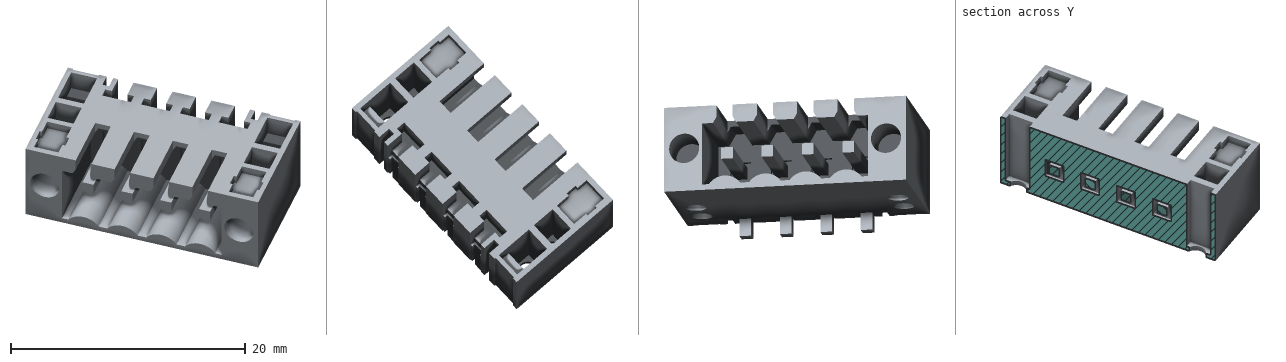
import cadquery as cq

LENGTH = 21.0
DEPTH = 11.05
HEIGHT = 7.43
WALL = 0.48

PIN_COUNT = 4
PITCH = 3.5
PIN_SIZE = 1.0
PIN_FRONT = 1.18
PIN_BACK = 10.67
PIN_AXIS_Z = 3.5
PIN_DROP = 1.51
PIN_TOP = PIN_AXIS_Z + PIN_SIZE / 2
PIN_CENTRES = [(i - (PIN_COUNT - 1) / 2) * PITCH for i in range(PIN_COUNT)]

CAVITY_WIDTH = 14.4
CAVITY_TOP = 5.88
CAVITY_DEPTH = 7.55
KEYWAY_TOP = 6.9
KEYWAY_BASE_WIDTH = 2.0
KEYWAY_TOP_WIDTH = 0.82
RIDGE_WIDTH = 2.73
RIDGE_HEIGHT = 0.7
PIN_RECESS_SIZE = 1.76
PIN_RECESS_DEPTH = 0.42

ROOF_SLOT_WIDTH = 1.4
ROOF_SLOT_DEPTH = 5.08

TEE_BAR_WIDTH = 2.6
TEE_BAR_FRONT = 8.6
TEE_BAR_BACK = 9.43
TEE_STEM_WIDTH = 1.39
TEE_FLOOR = 5.05
TEE_FLOOR_BACK = 10.52
REAR_RELIEF = 0.08

SLIT_WIDTH = 0.6
SLIT_DEPTH = 1.11
SLIT_X = 6.7

END_POCKET_INNER_X = 7.69
END_POCKET_WIDTH = LENGTH / 2 - WALL - END_POCKET_INNER_X
END_POCKET_X = END_POCKET_INNER_X + END_POCKET_WIDTH / 2
REAR_POCKET_FRONT = 7.12
REAR_POCKET_BACK = 10.55
SHELF_FRONT = 9.43
SHELF_DROP = 1.78
MIDDLE_POCKET_FRONT = 4.39
MIDDLE_POCKET_BACK = 6.53
BOLT_X = 8.75
BOLT_DIAMETER = 1.8
BOLT_YS = (5.48, 8.2)
REAR_NOTCH_DEPTH = 0.13

SCREW_DIAMETER = 2.6
SCREW_Z = 3.75
SCREW_DEPTH = 3.35

NUT_POCKET_WIDTH = 2.2
NUT_POCKET_FRONT = WALL
NUT_POCKET_BACK = 3.9
NUT_EAR_WIDTH = 2.67
NUT_EAR_FRONT = 1.51
NUT_EAR_BACK = 2.55
NUT_POCKET_DEPTH = 0.74


def block(x_centre, width, y_range, z_range):
    """Box centred on x_centre, spanning the given Y and Z ranges."""
    y_front, y_back = y_range
    z_low, z_high = z_range
    return (
        cq.Workplane("XY")
        .box(width, y_back - y_front, z_high - z_low, centered=(True, False, False))
        .translate((x_centre, y_front, z_low))
    )


def make_pin(x):
    """Square L-shaped pin: a contact blade with a solder leg at the rear."""
    blade = block(x, PIN_SIZE, (PIN_FRONT, PIN_BACK), (PIN_TOP - PIN_SIZE, PIN_TOP))
    leg = block(x, PIN_SIZE, (PIN_BACK - PIN_SIZE, PIN_BACK), (-PIN_DROP, PIN_TOP))
    return blade.union(leg)


def keyway(x):
    """Trapezoidal groove in the cavity roof, over a pin."""
    return (
        cq.Workplane("XZ")
        .moveTo(x - KEYWAY_BASE_WIDTH / 2, CAVITY_TOP)
        .lineTo(x - KEYWAY_TOP_WIDTH / 2, KEYWAY_TOP)
        .lineTo(x + KEYWAY_TOP_WIDTH / 2, KEYWAY_TOP)
        .lineTo(x + KEYWAY_BASE_WIDTH / 2, CAVITY_TOP)
        .close()
        .extrude(-CAVITY_DEPTH)
    )


def ridge(x):
    """Rounded rib on the cavity floor, under a pin."""
    return (
        cq.Workplane("XZ")
        .moveTo(x - RIDGE_WIDTH / 2, WALL)
        .threePointArc((x, WALL + RIDGE_HEIGHT), (x + RIDGE_WIDTH / 2, WALL))
        .close()
        .extrude(-CAVITY_DEPTH)
    )


def plug_cavity():
    """Front opening with its keyways and floor ridges."""
    cavity = block(0, CAVITY_WIDTH, (0, CAVITY_DEPTH), (WALL, CAVITY_TOP))
    for x in PIN_CENTRES:
        cavity = cavity.union(keyway(x)).cut(ridge(x))
    return cavity


def roof_slot(x):
    """Slot from the top face into the cavity, open at the front."""
    return block(x, ROOF_SLOT_WIDTH, (0, ROOF_SLOT_DEPTH), (CAVITY_TOP, HEIGHT))


def pin_seat(x):
    """Recess around the pin, and its channel down to the underside, open at the rear."""
    recess_back = CAVITY_DEPTH + PIN_RECESS_DEPTH
    recess_low = PIN_AXIS_Z - PIN_RECESS_SIZE / 2
    recess_high = PIN_AXIS_Z + PIN_RECESS_SIZE / 2
    recess = block(x, PIN_RECESS_SIZE, (CAVITY_DEPTH, recess_back), (recess_low, recess_high))
    channel = block(x, PIN_SIZE, (PIN_BACK - PIN_SIZE, DEPTH), (0, PIN_TOP))
    return recess.union(channel).union(make_pin(x))


def rear_opening(x):
    """T-shaped opening in the top rear, with the stepped rear face below it."""
    bar = block(x, TEE_BAR_WIDTH, (TEE_BAR_FRONT, TEE_BAR_BACK), (TEE_FLOOR, HEIGHT))
    stem = block(x, TEE_STEM_WIDTH, (TEE_BAR_FRONT, DEPTH), (TEE_FLOOR, HEIGHT))
    ledge = block(x, TEE_STEM_WIDTH, (TEE_FLOOR_BACK, DEPTH), (PIN_TOP, HEIGHT))
    relief = block(x, TEE_STEM_WIDTH, (DEPTH - REAR_RELIEF, DEPTH), (0, HEIGHT))
    return bar.union(stem).union(ledge).union(relief)


def end_cuts(side):
    """All cuts of one mounting end; side is -1 for the left and 1 for the right."""
    pocket_x = side * END_POCKET_X
    nut_x = side * (END_POCKET_INNER_X + NUT_POCKET_WIDTH / 2)
    bolt_x = side * BOLT_X
    shelf_z = HEIGHT - SHELF_DROP
    nut_floor = HEIGHT - NUT_POCKET_DEPTH

    pockets = [
        block(pocket_x, END_POCKET_WIDTH, (REAR_POCKET_FRONT, REAR_POCKET_BACK), (shelf_z, HEIGHT)),
        block(pocket_x, END_POCKET_WIDTH, (REAR_POCKET_FRONT, SHELF_FRONT), (WALL, HEIGHT)),
        block(pocket_x, END_POCKET_WIDTH, (MIDDLE_POCKET_FRONT, MIDDLE_POCKET_BACK), (WALL, HEIGHT)),
        block(pocket_x, END_POCKET_WIDTH, (DEPTH - REAR_NOTCH_DEPTH, DEPTH), (0, HEIGHT)),
        block(nut_x, NUT_POCKET_WIDTH, (NUT_POCKET_FRONT, NUT_POCKET_BACK), (nut_floor, HEIGHT)),
        block(bolt_x, NUT_EAR_WIDTH, (NUT_EAR_FRONT, NUT_EAR_BACK), (nut_floor, HEIGHT)),
        block(side * SLIT_X, SLIT_WIDTH, (DEPTH - SLIT_DEPTH, DEPTH), (0, HEIGHT)),
    ]
    bolt_holes = (
        cq.Workplane("XY")
        .pushPoints([(bolt_x, y) for y in BOLT_YS])
        .circle(BOLT_DIAMETER / 2)
        .extrude(WALL)
    )
    screw_hole = (
        cq.Workplane("XZ")
        .center(bolt_x, SCREW_Z)
        .circle(SCREW_DIAMETER / 2)
        .extrude(-SCREW_DEPTH)
    )
    return [*pockets, bolt_holes, screw_hole]


def make_housing():
    """Insulating body with the plug cavity, pin seats and mounting ends cut out."""
    housing = block(0, LENGTH, (0, DEPTH), (0, HEIGHT)).cut(plug_cavity())
    for x in PIN_CENTRES:
        housing = housing.cut(roof_slot(x)).cut(rear_opening(x)).cut(pin_seat(x))
    for side in (-1, 1):
        for cut in end_cuts(side):
            housing = housing.cut(cut)
    return housing


housing = make_housing()
pins = [make_pin(x) for x in PIN_CENTRES]

result = cq.Compound.makeCompound([housing.val(), *[pin.val() for pin in pins]])